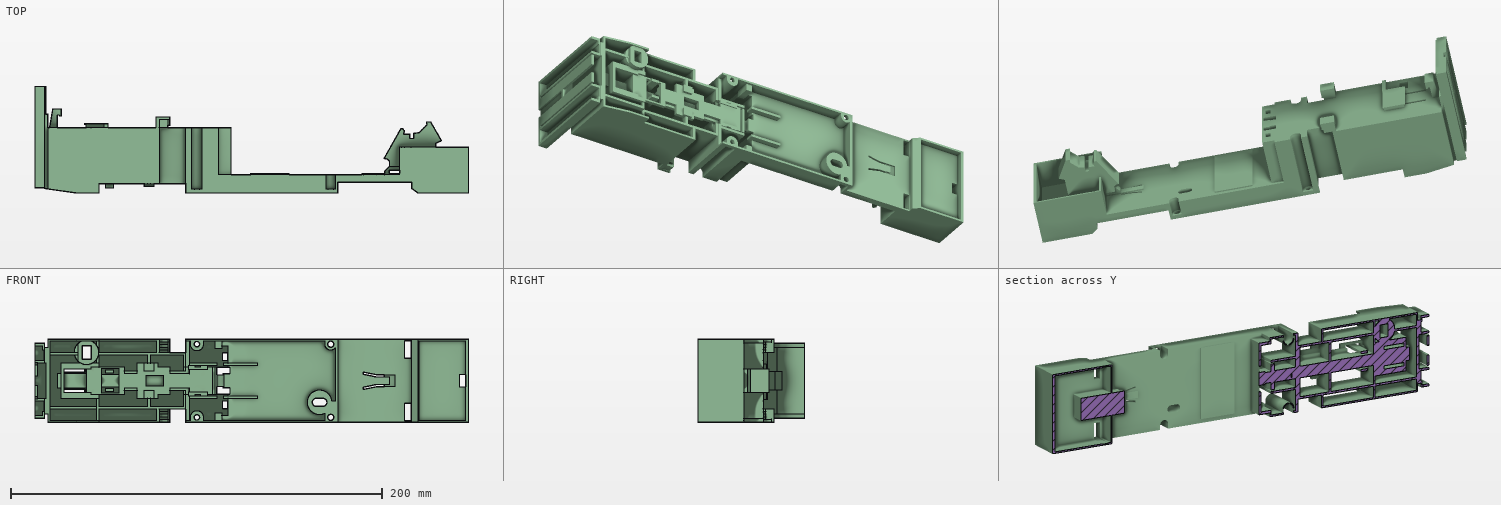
import cadquery as cq


LENGTH = 233.4
DEPTH = 57.45
HALF_Z = 44.8 / 2
WALL = 1.1
BACK_Y = 35.2
BACK_WALL = 2.0
CAVITY_Y = BACK_Y - BACK_WALL
RIM_Y = 5.0
INNER_Z = 15.2
RIB_Z = INNER_Z - 1.4
HOUSING_X = (7.0, 67.0)
TAPER_Y = 2.2
TAPER_END = 22.5


def box(x, y, z):
    """Block filling the given X, Y and Z spans."""
    block = cq.Workplane("XY").box(x[1] - x[0], y[1] - y[0], z[1] - z[0], centered=False)
    return block.translate((x[0], y[0], z[0]))


def sym(half):
    """Span reaching equally far to both sides of zero."""
    return (-half, half)


def both_sides(solid):
    """The solid together with its mirror image across Z = 0."""
    return solid.union(solid.mirror("XY"))


def prism_z(points, z):
    """XY outline extruded over the Z span."""
    return cq.Workplane("XY").workplane(offset=z[0]).polyline(points).close().extrude(z[1] - z[0])


def prism_y(points, y):
    """XZ outline extruded over the Y span."""
    return cq.Workplane("XZ", origin=(0, y[0], 0)).polyline(points).close().extrude(y[0] - y[1])


def rod_y(center, radius, y):
    """Cylinder along Y about the (x, z) centre."""
    return cq.Workplane("XZ", origin=(0, y[0], 0)).center(*center).circle(radius).extrude(y[0] - y[1])


PLATE_X = (0, 5.3)
PLATE_Y = (2.9, DEPTH)
PLATE_HALF_Z = 20.3
PLATE_RIM = 1.5
NECK_X = (PLATE_X[1], HOUSING_X[0])
NECK_BACK = 42.5
NECK_HALF_Z = 18.0


def end_plate():
    plate = box(PLATE_X, PLATE_Y, sym(PLATE_HALF_Z))
    lip_x = (PLATE_X[1], 5.9)
    plate = plate.union(box(lip_x, PLATE_Y, sym(NECK_HALF_Z)))

    channel_depth = 4.9
    ledge_depth = 4.2
    ledge_z = 16.6
    channel_z = (11.0, PLATE_HALF_Z - PLATE_RIM)
    channel_y = (PLATE_Y[0], DEPTH - PLATE_RIM)
    plate = plate.cut(both_sides(box((0, ledge_depth), channel_y, channel_z)))
    plate = plate.cut(both_sides(box((0, channel_depth), channel_y, (channel_z[0], ledge_z))))

    skin = 1.4
    slit_z = (8.6, 9.7)
    plate = plate.cut(both_sides(box((0, skin), (PLATE_Y[0], DEPTH - 2), slit_z)))

    groove_x = (0, skin)
    groove_z = sym(2.5)
    bridge_y = (32.5, 33.9)
    plate = plate.cut(box(groove_x, (PLATE_Y[0], bridge_y[0]), groove_z))
    plate = plate.cut(box(groove_x, (bridge_y[1], DEPTH), groove_z))

    slope = TAPER_Y / (TAPER_END - HOUSING_X[0])
    neck_front = TAPER_Y + slope * (NECK_X[1] - NECK_X[0])
    neck_outline = [
        (NECK_X[0], neck_front), (NECK_X[1], TAPER_Y),
        (NECK_X[1], NECK_BACK), (NECK_X[0], NECK_BACK),
    ]
    plate = plate.union(prism_z(neck_outline, sym(NECK_HALF_Z)))
    chamber_x = (skin, NECK_X[1] - 0.9)
    chamber_half_z = 9.5
    return plate.cut(box(chamber_x, (0, bridge_y[0]), sym(chamber_half_z)))


STEP_X = 34.6
NARROW_END = 81.1
CROSS_WALL = 1.3
RIB_FRONT = 2.5
MID_RIB_X = (60.6, 62.1)


def housing():
    outline = [
        (HOUSING_X[0], TAPER_Y), (TAPER_END, 0), (STEP_X, 0), (STEP_X, RIM_Y),
        (HOUSING_X[1], RIM_Y), (HOUSING_X[1], BACK_Y), (HOUSING_X[0], BACK_Y),
    ]
    body = prism_z(outline, sym(HALF_Z))
    body = body.union(box((HOUSING_X[1], NARROW_END), (RIM_Y, BACK_Y), sym(INNER_Z)))

    cavity = (0, CAVITY_Y)
    left_x = (HOUSING_X[0] + WALL, STEP_X - CROSS_WALL)
    right_x = (STEP_X, HOUSING_X[1] - 1.5)
    for x in (left_x, right_x):
        body = body.cut(both_sides(box(x, cavity, (INNER_Z, HALF_Z - WALL))))
    for x in (left_x, (STEP_X, MID_RIB_X[0]), (MID_RIB_X[1], NARROW_END - WALL)):
        body = body.cut(box(x, cavity, sym(RIB_Z)))
    body = body.cut(box((left_x[1], STEP_X), (0, RIM_Y), sym(HALF_Z - WALL)))
    body = body.cut(box(left_x, (0, RIB_FRONT), sym(HALF_Z - WALL)))
    return body.cut(box((left_x[1], NARROW_END), (0, LEDGE_Y[1]), sym(SLIDER_HALF_Z)))


def comb_brackets():
    """Finned brackets on the back of the housing, at both outer edges."""
    x = (65.1, 72.6)
    y = (BACK_Y, 41.0)
    z = (INNER_Z, HALF_Z)
    fin_y = (y[0], y[1] - 1.5)
    end_wall_x = x[1] - 1.0
    bracket = box((x[0], HOUSING_X[1]), y, z)
    bracket = bracket.union(box(x, (fin_y[1], y[1]), z))
    fin = 1.4
    fin_pitch = 2 * fin
    for index in range(3):
        low = z[0] + index * fin_pitch
        bracket = bracket.union(box((HOUSING_X[1], end_wall_x), fin_y, (low, low + fin)))
    bracket = bracket.union(box((end_wall_x, x[1]), (fin_y[0] + 1.2, fin_y[1]), (z[0], z[1] - 1.6)))
    return both_sides(bracket)


def back_hook():
    """Hook and key on the back of the housing."""
    root = BACK_Y - 1
    hook_tip, hook_lip = 45.3, 41.4
    hook_half_z = 5
    hook_outline = [
        (7.7, root), (9.6, hook_tip), (14.3, hook_tip), (14.3, hook_lip),
        (13.6, hook_lip), (13.0, 42.0), (12.1, 42.0), (12.1, root),
    ]
    hook = prism_z(hook_outline, sym(hook_half_z))
    key_half_z = 10
    cap_y = (36.8, 37.4)
    key = box((27.4, 38.4), (root, cap_y[0]), sym(key_half_z))
    cap = box((26.8, 39.0), cap_y, sym(key_half_z))
    corner_tab = box((37.3, 39.4), (root, cap_y[1]), (key_half_z - 1, 21))
    return hook.union(key).union(cap).union(corner_tab)


MOUNT_CENTER = (27.8, 15.3)
MOUNT_RADIUS = 6.6
MOUNT_FRONT = 0.7
MOUNT_WINDOW_X = (25.6, 30.3)
MOUNT_WINDOW_Z = (11.7, 18.7)


def round_mount():
    mount = rod_y(MOUNT_CENTER, MOUNT_RADIUS, (MOUNT_FRONT, BACK_Y))
    trim_x = (MOUNT_CENTER[0] - MOUNT_RADIUS, MOUNT_CENTER[0] - 4.5)
    trim_z = (MOUNT_CENTER[1] - MOUNT_RADIUS, MOUNT_CENTER[1] + MOUNT_RADIUS)
    return mount.cut(box(trim_x, (0, MOUNT_FRONT + 2), trim_z))


def mount_window():
    return box(MOUNT_WINDOW_X, (0, DEPTH), MOUNT_WINDOW_Z)


FRAME_X = (14.1, STEP_X)
FRAME_Y = (4.0, BACK_Y)
FRAME_HALF_Z = 9.6
WINDOW_X = (15.7, 27.7)
WINDOW_HALF_Z = 6.3
WINDOW_SLOT = 1.6
SLIDER_Y = (5.2, 7.2)
LEDGE_Y = (SLIDER_Y[1], 9.2)
SLIDER_HALF_Z = 7.4
SLIDER_END = 95.6


def frame():
    block = box(FRAME_X, FRAME_Y, sym(FRAME_HALF_Z))
    tongue_x = (12.1, FRAME_X[0])
    tongue_y = (FRAME_Y[0] + 4.5, BACK_Y)
    tongue_half_z = 3.9
    block = block.union(box(tongue_x, tongue_y, sym(tongue_half_z)))
    bar_front = 12
    bar_half_z = 4.0
    groove_floor = 15
    block = block.cut(box(WINDOW_X, (FRAME_Y[0], groove_floor), sym(WINDOW_HALF_Z)))
    block = block.union(box(WINDOW_X, (bar_front, groove_floor), sym(bar_half_z)))
    wide_x = 30.3
    block = block.cut(box((WINDOW_X[1], FRAME_X[1]), (FRAME_Y[0], SLIDER_Y[0]), sym(WINDOW_HALF_Z)))
    block = block.cut(box((wide_x, FRAME_X[1]), (FRAME_Y[0], SLIDER_Y[0]), sym(SLIDER_HALF_Z)))
    return block


def frame_slots():
    return both_sides(box(WINDOW_X, (0, DEPTH), (WINDOW_HALF_Z - WINDOW_SLOT, WINDOW_HALF_Z)))


def slider():
    wide, narrow, ear = SLIDER_HALF_Z, 3.9, 9.5
    start = FRAME_X[1] - 1
    ear_x = (55.0, 66.2)
    first_waist = 48.2
    second_waist_x = (72.6, 83.0)
    upper = [
        (start, wide), (first_waist, wide), (first_waist, narrow), (ear_x[0], narrow),
        (ear_x[0], ear), (ear_x[1], ear), (ear_x[1], wide), (second_waist_x[0], wide),
        (second_waist_x[0], narrow), (second_waist_x[1], narrow),
        (second_waist_x[1], wide), (SLIDER_END, wide),
    ]
    lower = [(x, -z) for x, z in reversed(upper)]
    plate = prism_y(upper + lower, SLIDER_Y)
    ledge_half_z, spine_half_z = 5.3, 3.4
    plate = plate.union(box((start, NARROW_END), LEDGE_Y, sym(ledge_half_z)))
    plate = plate.union(box((start, SLIDER_END), (SLIDER_Y[1], BACK_Y), sym(spine_half_z)))
    pin_pocket_x, pin_pocket_floor, pin_pocket_half_z = (36.0, 45.2), 12, 6.5
    plate = plate.cut(box(pin_pocket_x, (SLIDER_Y[0], pin_pocket_floor), sym(pin_pocket_half_z)))
    small_pocket_x, small_pocket_half_z = (59.7, 69.2), 2.8
    plate = plate.cut(box(small_pocket_x, (SLIDER_Y[0], LEDGE_Y[1]), sym(small_pocket_half_z)))
    tab_x, tab_front = (58.8, 64.2), 3.7
    plate = plate.union(both_sides(box(tab_x, (tab_front, SLIDER_Y[1]), (ledge_half_z, ear))))
    pin_x, pin_front, pin_z = (38.0, 42.4), 2.7, (4.3, 5.8)
    return plate.union(both_sides(box(pin_x, (pin_front, CAVITY_Y), pin_z)))


TRAY_X = (81.1, 163.1)
TRAY_Y = (0, 10.0)
TRAY_FLOOR = 7.0
TRAY_WALL_LEFT = 2.0
TRAY_WALL_RIGHT = 1.4
TOWER_X = (TRAY_X[0], 98.9)
ANNEX_X = (TOWER_X[1], 105.6)
ANNEX_HALF_Z = 20.3
ANNEX_WALL = 1.7
STRIP_BACK = 10.7
SCREW_Z = 19.7
SCREW_ROWS = [(87.2, 1.4, 2.85, BACK_Y), (159.2, 1.6, 2.5, TRAY_Y[1])]
SCREW_SEAT = 2.2
SCREW_BOSS_WALL = 0.7
SLOT_CENTER = (153.2, -11.6)
SLOT_BOSS_RADIUS = 6.6
SLOT_LENGTH = 7.8
SLOT_WIDTH = 4.2
NOTCH_START = 98.0
NOTCH_Z = (3.8, 7.2)
BRIDGE_HALF_Z = 3.2


def tray_shell():
    shell = box(TRAY_X, TRAY_Y, sym(HALF_Z))
    shell = shell.union(box(TOWER_X, (0, BACK_Y), sym(HALF_Z)))
    shell = shell.union(box(ANNEX_X, (0, BACK_Y), sym(ANNEX_HALF_Z)))
    inside_x = (TRAY_X[0] + TRAY_WALL_LEFT, TRAY_X[1] - TRAY_WALL_RIGHT)
    shell = shell.cut(box(inside_x, (0, TRAY_FLOOR), sym(HALF_Z - WALL)))
    shell = shell.cut(box((inside_x[0], TOWER_X[1] - 1), (0, CAVITY_Y), sym(HALF_Z - WALL)))
    annex_inside = (TOWER_X[1] - 1, ANNEX_X[1] - ANNEX_WALL)
    shell = shell.cut(box(annex_inside, (0, CAVITY_Y), sym(ANNEX_HALF_Z - ANNEX_WALL)))
    shell = shell.cut(box((TRAY_X[0], inside_x[0]), (0, RIM_Y - 0.4), sym(HALF_Z - WALL)))
    return shell.cut(box((NARROW_END - WALL, inside_x[0]), (0, SLIDER_Y[1]), sym(SLIDER_HALF_Z)))


def tray_fittings():
    rail_z = (8.1, 9.5)
    rail_x, rail_front = (101.5, 119.7), 3.5
    rail = box(rail_x, (rail_front, TRAY_FLOOR + 1), rail_z)
    guide_x = (82.6, 98.0)
    guide = box(guide_x, (RIM_Y, CAVITY_Y), rail_z)
    clip_end, clip_inner_z = 92.8, 6.0
    clip = box((guide_x[0], clip_end), (SLIDER_Y[0] - 0.7, SLIDER_Y[1]), (clip_inner_z, rail_z[0]))
    gap_x = (86.3, 89.1)
    clip = clip.cut(box(gap_x, (0, SLIDER_Y[1]), (SLIDER_HALF_Z, rail_z[0])))
    post_x, post_front, post_inner_z = (97.0, 100.6), 1.5, 17.4
    post = box(post_x, (post_front, TRAY_Y[1]), (post_inner_z, HALF_Z - WALL))
    fittings = both_sides(rail.union(guide).union(clip).union(post))
    stop_x = (96.8, NOTCH_START)
    stop = box(stop_x, (SLIDER_Y[0], CAVITY_Y), sym(SLIDER_HALF_Z))
    stop = stop.union(box((SLIDER_END, stop_x[0]), (SLIDER_Y[1], CAVITY_Y), sym(SLIDER_HALF_Z)))
    bridge_front, bridge_end = 9, 101.7
    bridge = box((NOTCH_START, bridge_end), (bridge_front, CAVITY_Y), sym(BRIDGE_HALF_Z))
    step_x = (bridge_end, ANNEX_X[1] - ANNEX_WALL)
    bridge = bridge.union(box(step_x, (TRAY_FLOOR, CAVITY_Y), sym(NOTCH_Z[0])))
    return fittings.union(stop).union(bridge)


def screw_bosses():
    bosses = rod_y(SLOT_CENTER, SLOT_BOSS_RADIUS, (0, TRAY_FLOOR + 1))
    right_x, _, right_bore, _ = SCREW_ROWS[1]
    corner_x = (right_x - right_bore - SCREW_BOSS_WALL, TRAY_X[1])
    bosses = bosses.union(box(corner_x, (0, TRAY_FLOOR + 1), (-HALF_Z, -10.9)))
    for x, _, bore, back in SCREW_ROWS:
        boss = rod_y((x, SCREW_Z), bore + SCREW_BOSS_WALL, (0, back))
        flank = box((x - bore - SCREW_BOSS_WALL, x + bore + SCREW_BOSS_WALL), (0, back), (SCREW_Z, HALF_Z))
        limit = box(TRAY_X, (0, back), (0, HALF_Z))
        bosses = bosses.union(both_sides(boss.union(flank).intersect(limit)))
    return bosses


def tray_openings():
    through = (0, DEPTH)
    openings = cq.Workplane("XZ").center(*SLOT_CENTER).slot2D(SLOT_LENGTH, SLOT_WIDTH).extrude(-DEPTH)
    for x, radius, bore, back in SCREW_ROWS:
        hole = rod_y((x, SCREW_Z), radius, through)
        bore_y = (SCREW_SEAT, back)
        pocket = rod_y((x, SCREW_Z), bore, bore_y)
        pocket = pocket.union(box((x - bore, x + bore), bore_y, (SCREW_Z, HALF_Z)))
        openings = openings.union(both_sides(hole.union(pocket)))
    window_x, window_z = (101.0, 103.7), (11.0, 15.0)
    window = box(window_x, through, window_z)
    notch_end, undercut_end = 104.9, 101.3
    notch = box((NOTCH_START, notch_end), through, NOTCH_Z)
    notch = notch.union(box((NOTCH_START, undercut_end), through, (BRIDGE_HALF_Z, NOTCH_Z[0])))
    return openings.union(both_sides(window.union(notch)))


def back_pad():
    pad_x, pad_half_z = (116.1, 136.8), 20
    return box(pad_x, (TRAY_FLOOR + 1, STRIP_BACK), sym(pad_half_z))


TONGUE_Y = (5.8, 10.0)
FOOT_X = (196.2, LENGTH)
FOOT_BACK = 24.8
FOOT_FRONT_X = 202.7
FOOT_CHAMFER_X = 206.2
FOOT_CHAMFER_Y = 2.5
FACE_DEPTH = 4.0
CATCH_HALF_Z = 1.9


def foot_block():
    root = TRAY_X[1] - TRAY_WALL_RIGHT
    outline = [
        (root, TONGUE_Y[0]), (FOOT_FRONT_X, TONGUE_Y[0]), (FOOT_FRONT_X, FOOT_CHAMFER_Y),
        (FOOT_CHAMFER_X, 0), (LENGTH, 0), (LENGTH, FOOT_BACK),
        (FOOT_X[0], FOOT_BACK), (FOOT_X[0], TONGUE_Y[1]), (root, TONGUE_Y[1]),
    ]
    block = prism_z(outline, sym(HALF_Z))
    end_wall = 1.6
    inside_x = (FOOT_X[0] + WALL, LENGTH - end_wall)
    block = block.cut(box((FOOT_CHAMFER_X + 0.4, inside_x[1]), (0, FACE_DEPTH), sym(HALF_Z - WALL)))
    block = block.cut(box(inside_x, (TONGUE_Y[1], FOOT_BACK), sym(HALF_Z - WALL)))
    side_x, side_z = (198.9, FOOT_FRONT_X - 0.2), (12.2, 21.5)
    block = block.cut(both_sides(box(side_x, (0, DEPTH), side_z)))
    end_x, end_half_z = (228.5, inside_x[1]), 3.3
    return block.cut(box(end_x, (0, DEPTH), sym(end_half_z)))


def latch_cuts():
    """Slits that free the spring tongue, and the shallow pocket at its root."""
    slit = 1.1
    near, far = 2.1, 3.5
    splay_x, bend_x, pocket_x, end_x = 176.8, 183.8, 188.0, 193.7
    through = (0, TONGUE_Y[1])
    straight = box((bend_x, pocket_x), through, (near, near + slit))
    splayed = prism_y([(splay_x, far), (bend_x, near), (bend_x, near + slit), (splay_x, far + slit)], through)
    pocket = box((pocket_x, end_x), (TONGUE_Y[0], TONGUE_Y[0] + 1), sym(near + slit))
    pocket = pocket.cut(box((pocket_x, end_x - 2.9), through, sym(CATCH_HALF_Z)))
    return both_sides(straight.union(splayed)).union(pocket)


def rail_clip():
    """Clip gripping the mounting rail, with its catch and the strip behind the tongue."""
    root = TONGUE_Y[1] - 1
    clip_half_z = 6.4
    clip_outline = [
        (187.8, 18.6), (196.9, 34.7), (198.0, 34.7), (198.9, 33.4), (198.4, 31.8),
        (201.8, 31.8), (201.8, 29.5), (203.8, 29.5), (203.8, 32.2),
        (206.8, 32.6), (210.9, 36.7), (210.6, 38.3), (213.0, 38.3), (218.8, 28.2), (215.8, 26.8),
        (215.8, root), (FOOT_X[0], root), (FOOT_X[0], 14.3), (190.7, 14.3), (190.7, 17.2), (189.6, 18.3),
    ]
    clip = prism_z(clip_outline, sym(clip_half_z))
    catch_left, catch_step, catch_right = 188.2, 190.7, FOOT_X[0] + 0.4
    arm_y = (12.2, 14.4)
    catch_outline = [
        (catch_left, 11.8), (catch_step, arm_y[1]), (catch_right, arm_y[1]), (catch_right, arm_y[0]),
        (catch_step, arm_y[0]), (catch_step, TONGUE_Y[1]), (catch_left, TONGUE_Y[1]),
    ]
    catch = prism_z(catch_outline, sym(CATCH_HALF_Z))
    strip = box((175.9, FOOT_X[0]), (root, STRIP_BACK), sym(CATCH_HALF_Z))
    return clip.union(catch).union(strip)


def carrier():
    body = housing().union(frame()).union(slider()).union(round_mount())
    body = body.cut(mount_window()).cut(frame_slots())
    body = body.union(comb_brackets()).union(back_hook()).union(end_plate())
    tray = tray_shell().union(tray_fittings()).union(screw_bosses()).union(back_pad())
    body = body.union(tray.cut(tray_openings()))
    foot = foot_block().cut(latch_cuts()).union(rail_clip())
    return body.union(foot)


result = carrier()